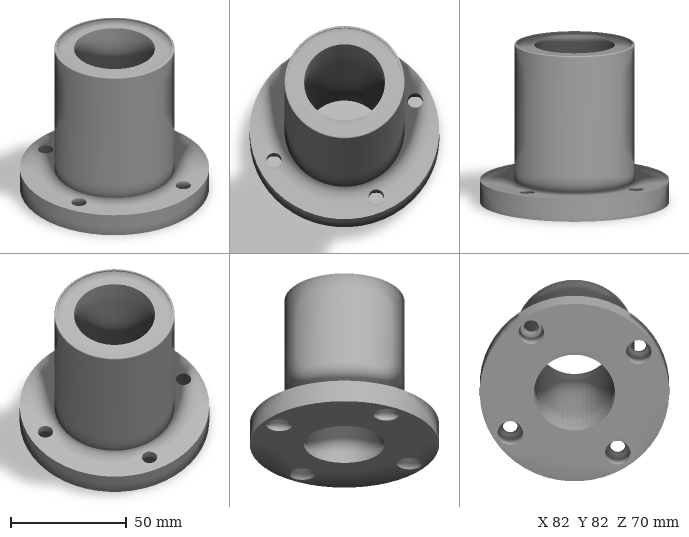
import cadquery as cq

flange_diameter = 82.0
flange_thickness = 10.0
body_diameter = 52.0
total_height = 70.0
bore_diameter = 35.0
rim_fillet = 0.5
rim_width = 0.5
face_recess_depth = 0.5
screw_hole_diameter = 6.6
counterbore_diameter = 11.0
counterbore_depth = 6.5
bolt_circle_diameter = 67.0
screw_count = 4


def flanged_sleeve():
    """Round flange with its underside on Z = 0 and a sleeve with a rounded top edge rising from it."""
    flange = cq.Workplane("XY").circle(flange_diameter / 2).extrude(flange_thickness)
    sleeve = cq.Workplane("XY").circle(body_diameter / 2).extrude(total_height)
    rounded_sleeve = sleeve.faces(">Z").edges().fillet(rim_fillet)
    return flange.union(rounded_sleeve)


def end_face_recess():
    """Shallow circular recess that leaves a narrow raised rim around the sleeve's end face."""
    recess_radius = body_diameter / 2 - rim_fillet - rim_width
    recess_floor = total_height - face_recess_depth
    return cq.Workplane("XY").workplane(offset=recess_floor).circle(recess_radius).extrude(face_recess_depth)


def bore():
    """Through bore along the Z axis."""
    return cq.Workplane("XY").circle(bore_diameter / 2).extrude(total_height)


def bolt_circle_cylinders(diameter, height):
    """Cylinders rising from Z = 0 on the bolt circle, one on each of the +X, +Y, -X and -Y sides."""
    return (
        cq.Workplane("XY")
        .polarArray(bolt_circle_diameter / 2, 0, 360, screw_count)
        .circle(diameter / 2)
        .extrude(height)
    )


def screw_holes():
    """Through holes in the flange, counterbored from its underside for the screw heads."""
    clearance_holes = bolt_circle_cylinders(screw_hole_diameter, flange_thickness)
    counterbores = bolt_circle_cylinders(counterbore_diameter, counterbore_depth)
    return clearance_holes.union(counterbores)


result = flanged_sleeve().cut(end_face_recess()).cut(bore()).cut(screw_holes())